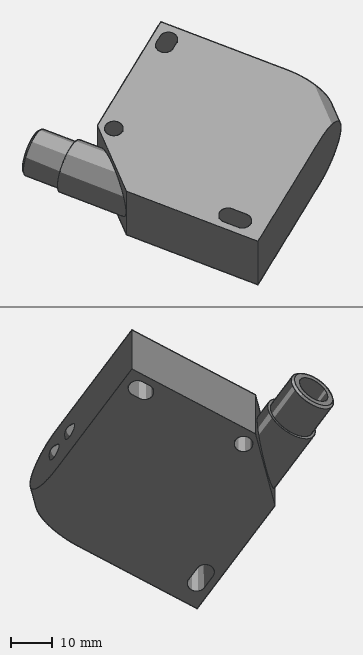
import cadquery as cq

side = 50.05
thickness = 17.0
connector_corner = 15.0
round_corner = 16.2

hole_diameter = 4.45
hole_inset = 4.0
round_hole_y = 15.9
upper_slot_length = 6.4
upper_slot_y = side - 5.1
lower_slot_length = 8.25
lower_slot_x = side - 8.0

total_length = 63.5
connector_tip_x = side - total_length
connector_y = 7.0
sleeve_diameter = 12.0
sleeve_length = 10.0
sleeve_chamfer = 0.6
neck_diameter = 13.5
bore_diameter = 8.0
bore_depth = 5.0

dome_diameter = 4.25
total_depth = 51.0
dome_height = total_depth - side
dome_x_places = [side - 22.1, side - 15.1]


def make_block():
    return (
        cq.Workplane("XY")
        .moveTo(connector_corner, 0)
        .lineTo(side, 0)
        .lineTo(side, side)
        .lineTo(0, side)
        .lineTo(0, connector_corner)
        .close()
        .extrude(thickness / 2, both=True)
    )


def make_corner_waste():
    """Material outside a full half-round running across the +X +Y corner."""
    half = thickness / 2
    start = (side - round_corner / 2, side - round_corner / 2, 0)
    reach = round_corner
    plane = cq.Plane(origin=start, xDir=(1, 1, 0), normal=(1, -1, 0))
    return (
        cq.Workplane(plane)
        .moveTo(0, half)
        .threePointArc((half, 0), (0, -half))
        .lineTo(reach, -half)
        .lineTo(reach, half)
        .close()
        .extrude(round_corner, both=True)
    )


def make_holes():
    round_hole = (
        cq.Workplane("XY")
        .center(hole_inset, round_hole_y)
        .circle(hole_diameter / 2)
        .extrude(thickness, both=True)
    )
    upper_slot = (
        cq.Workplane("XY")
        .center(hole_inset, upper_slot_y)
        .slot2D(upper_slot_length, hole_diameter, 90)
        .extrude(thickness, both=True)
    )
    lower_slot = (
        cq.Workplane("XY")
        .center(lower_slot_x, hole_inset)
        .slot2D(lower_slot_length, hole_diameter)
        .extrude(thickness, both=True)
    )
    return round_hole.union(upper_slot).union(lower_slot)


def connector_cylinder(start_x, diameter, length):
    plane = cq.Plane(origin=(start_x, connector_y, 0), xDir=(0, 1, 0), normal=(1, 0, 0))
    return cq.Workplane(plane).circle(diameter / 2).extrude(length)


def make_connector():
    neck_x = connector_tip_x + sleeve_length
    sleeve = connector_cylinder(connector_tip_x, sleeve_diameter, sleeve_length)
    sleeve = sleeve.faces("<X").chamfer(sleeve_chamfer)
    neck = connector_cylinder(neck_x, neck_diameter, connector_corner - neck_x)
    bore = connector_cylinder(connector_tip_x, bore_diameter, bore_depth)
    return sleeve.union(neck).cut(bore)


def make_dome(x):
    """Spherical cap standing on the +Y side."""
    base_radius = dome_diameter / 2
    sphere_radius = (base_radius**2 + dome_height**2) / (2 * dome_height)
    sphere_y = side + dome_height - sphere_radius
    return cq.Workplane("XY").sphere(sphere_radius).translate((x, sphere_y, 0))


result = make_block().cut(make_corner_waste())
for dome_x in dome_x_places:
    result = result.union(make_dome(dome_x))
result = result.union(make_connector()).cut(make_holes())